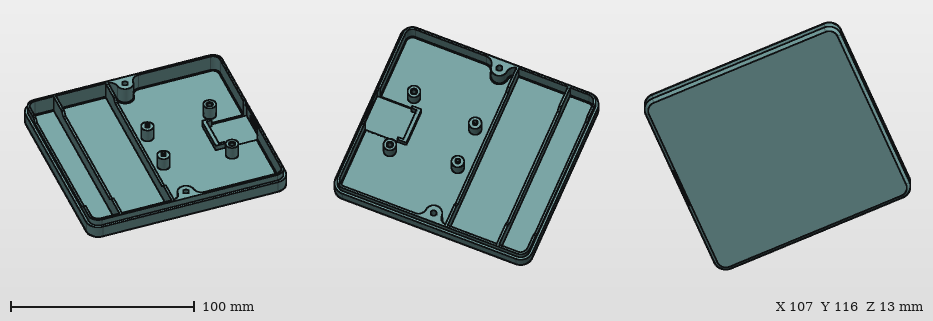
import cadquery as cq
import math

length_x = 107.0
length_y = 116.0
height = 13.0
corner_radius = 7.0

rim_step = 1.5
rim_thickness = 1.3
wall = rim_step + rim_thickness
ledge_z = 9.0
floor_z = 2.8
base_chamfer = 2.0
floor_chamfer = 0.5

inner_x = length_x / 2 - wall

side_boss_x = 46.9
side_boss_y = 0.0
side_boss_radius = 4.6
side_boss_flare = 4.6
side_hole_diameter = 3.2

post_diameter = 7.0
post_top_z = 10.7
screw_post_x = 17.2
screw_post_y = 38.0
screw_hole_diameter = 2.7
screw_hole_mouth = 3.6
pin_post_x = 12.4
pin_post_y = side_boss_y
pin_diameter = 2.5
pin_top_z = 12.3
pin_chamfer = 0.5

rib_thickness = 1.4
rib_centres_y = (-9.2, -39.4)
dip_depth = 2.2
dip_z = height - dip_depth
dip_bottom_half = 36.0
dip_top_half = dip_bottom_half + dip_depth

pocket_half_x = 10.8
pocket_floor_z = 1.6
pocket_back_y = 57.1
stop_front_y = 31.0
stop_back_y = 33.3
stop_arm_y = 36.4
stop_arm_thickness = 1.4
stop_top_z = 6.0
stop_corner_radius = 0.6
slot_length = 10.0
slot_height = 3.7
slot_z = 5.6


def rounded_block(inset, z_bottom, z_top):
    """Block following the tray outline, moved inwards by inset."""
    return (
        cq.Workplane("XY", origin=(0, 0, z_bottom))
        .rect(length_x - 2 * inset, length_y - 2 * inset)
        .extrude(z_top - z_bottom)
        .edges("|Z")
        .fillet(corner_radius - inset)
    )


def box(x_min, x_max, y_min, y_max, z_min, z_max):
    """Axis-aligned box between the given limits."""
    return cq.Workplane("XY").box(
        x_max - x_min, y_max - y_min, z_max - z_min, centered=False
    ).translate((x_min, y_min, z_min))


def cylinder(x, y, diameter, z_bottom, z_top):
    """Upright cylinder between two heights."""
    return cq.Workplane("XY", origin=(x, y, z_bottom)).circle(diameter / 2).extrude(z_top - z_bottom)


def side_boss(side):
    """Boss with a round nose and flared roots, on the wall at side = -1 or +1."""
    flare_x = inner_x - side_boss_flare
    centre_distance = side_boss_radius + side_boss_flare
    offset_x = side_boss_x - flare_x
    flare_y = math.sqrt(centre_distance**2 - offset_x**2)

    nose_share = side_boss_radius / centre_distance
    tangent_x = side_boss_x - nose_share * offset_x
    tangent_y = nose_share * flare_y

    mid_angle = math.atan2(tangent_y - flare_y, tangent_x - flare_x) / 2
    flare_mid_x = flare_x + side_boss_flare * math.cos(mid_angle)
    flare_mid_y = flare_y + side_boss_flare * math.sin(mid_angle)

    def at(x, y):
        """Point at distance x from the tray centre line, y from the boss centre."""
        return (side * x, side_boss_y + y)

    return (
        cq.Workplane("XY", origin=(0, 0, floor_z))
        .moveTo(*at(inner_x + rim_thickness / 2, flare_y))
        .lineTo(*at(inner_x, flare_y))
        .threePointArc(at(flare_mid_x, flare_mid_y), at(tangent_x, tangent_y))
        .threePointArc(at(side_boss_x - side_boss_radius, 0), at(tangent_x, -tangent_y))
        .threePointArc(at(flare_mid_x, -flare_mid_y), at(inner_x, -flare_y))
        .lineTo(*at(inner_x + rim_thickness / 2, -flare_y))
        .close()
        .extrude(height - floor_z)
    )


base = rounded_block(0, 0, ledge_z).faces("<Z").edges().chamfer(base_chamfer)
tray = base.union(rounded_block(rim_step, floor_z, height))

cavity = rounded_block(wall, floor_z, height)
for side in (-1, 1):
    cavity = cavity.cut(side_boss(side))
tray = tray.cut(cavity.faces("<Z").edges().chamfer(floor_chamfer))
for side in (-1, 1):
    tray = tray.cut(cylinder(side * side_boss_x, side_boss_y, side_hole_diameter, floor_z, height))

for rib_y in rib_centres_y:
    tray = tray.union(
        box(-inner_x, inner_x, rib_y - rib_thickness / 2, rib_y + rib_thickness / 2, floor_z, height)
    )

dip = (
    cq.Workplane("XZ", origin=(0, rib_centres_y[0] + rib_thickness / 2, 0))
    .polyline(
        [
            (-dip_top_half, height),
            (-dip_bottom_half, dip_z),
            (dip_bottom_half, dip_z),
            (dip_top_half, height),
        ]
    )
    .close()
    .extrude(length_y)
)
tray = tray.cut(dip)

screw_mouth_chamfer = (screw_hole_mouth - screw_hole_diameter) / 2
for side in (-1, 1):
    screw_x = side * screw_post_x
    screw_post = (
        cylinder(screw_x, screw_post_y, post_diameter, floor_z, post_top_z)
        .cut(cylinder(screw_x, screw_post_y, screw_hole_diameter, floor_z, post_top_z))
        .faces(">Z")
        .edges(cq.selectors.RadiusNthSelector(0))
        .chamfer(screw_mouth_chamfer)
    )
    tray = tray.union(screw_post)

    pin_x = side * pin_post_x
    pin_post = cylinder(pin_x, pin_post_y, post_diameter, floor_z, post_top_z)
    pin = cylinder(pin_x, pin_post_y, pin_diameter, floor_z, pin_top_z).faces(">Z").chamfer(pin_chamfer)
    tray = tray.union(pin_post).union(pin)

tray = tray.cut(box(-pocket_half_x, pocket_half_x, stop_back_y, pocket_back_y, pocket_floor_z, height))
tray = tray.cut(box(-pocket_half_x, pocket_half_x, pocket_back_y, length_y / 2, ledge_z, height))

stop = (
    box(-pocket_half_x, pocket_half_x, stop_front_y, stop_arm_y, pocket_floor_z, stop_top_z)
    .edges("|Z and <Y")
    .fillet(stop_corner_radius)
)
stop_inner_x = pocket_half_x - stop_arm_thickness
stop = stop.cut(box(-stop_inner_x, stop_inner_x, stop_back_y, stop_arm_y, pocket_floor_z, stop_top_z))
tray = tray.union(stop)

slot = (
    cq.Workplane("XZ", origin=(0, length_y / 2, slot_z))
    .slot2D(slot_length, slot_height)
    .extrude(length_y / 2 - stop_arm_y)
)
result = tray.cut(slot)